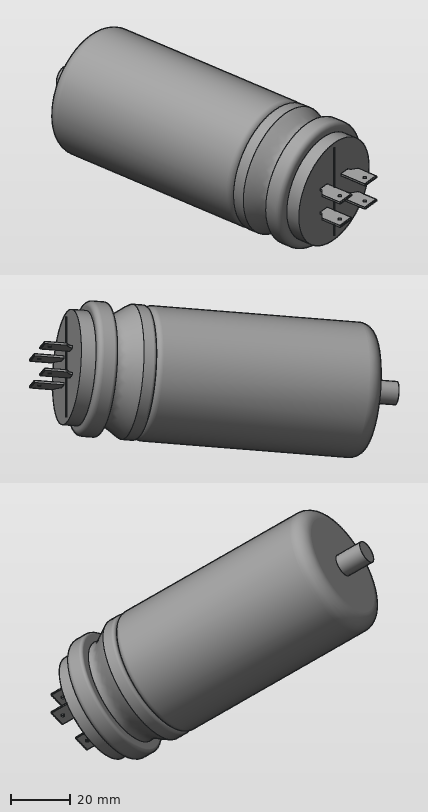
import cadquery as cq
import math

can_radius = 23.0
closed_end_fillet = 5.0

stud_radius = 4.0
stud_length = 10.0

groove_start_x = 77.1
groove_entry_radius = 2.3
bead_x = 79.3
bead_fillet = 1.1

neck_start_x = 84.0
neck_slope_point = (87.7, 20.7)
neck_waist_point = (91.5, 19.0)
neck_end_radius = 19.2

rim_start_x = 92.95
rim_end_x = 99.9
rim_inner_fillet = 1.1
rim_outer_fillet = 2.0

lid_radius = 19.6
lid_face_x = 105.0
lid_rib_length = 35.5
lid_rib_width = 0.5
lid_rib_height = 0.35

blade_tip_x = 115.5
blade_width = 6.3
blade_thickness = 0.8
blade_center_y = 6.95
blade_center_z = 4.75
blade_foot_width = 3.85
blade_foot_end_x = 105.9
blade_shoulder_x = 107.6
blade_tip_bevel_length = 0.35
blade_tip_bevel_depth = 0.2
blade_foot_fillet = 2.0
blade_hole_diameter = 1.2
blade_hole_x = 112.8


def point_on_circle(center, radius, angle):
    """Point on a circle in the (axial, radial) half plane."""
    return (
        center[0] + radius * math.cos(angle),
        center[1] + radius * math.sin(angle),
    )


def make_can():
    """Revolve the half profile of stud, can, neck, rim and lid about X."""
    deg45 = math.radians(45)
    deg135 = math.radians(135)
    up = math.radians(90)

    end_center = (closed_end_fillet, can_radius - closed_end_fillet)

    entry_center = (groove_start_x, can_radius - groove_entry_radius)
    entry_end_angle = math.acos((bead_x - groove_start_x) / groove_entry_radius)
    entry_end = point_on_circle(entry_center, groove_entry_radius, entry_end_angle)
    entry_mid = point_on_circle(entry_center, groove_entry_radius, (up + entry_end_angle) / 2)

    bead_center = (bead_x + bead_fillet, can_radius - bead_fillet)

    rim_inner_center = (rim_start_x + rim_inner_fillet, can_radius - rim_inner_fillet)
    rim_outer_center = (rim_end_x - rim_outer_fillet, can_radius - rim_outer_fillet)

    profile = (
        cq.Workplane("XZ")
        .moveTo(-stud_length, 0)
        .lineTo(-stud_length, stud_radius)
        .lineTo(0, stud_radius)
        .lineTo(0, end_center[1])
        .threePointArc(
            point_on_circle(end_center, closed_end_fillet, deg135),
            (end_center[0], can_radius),
        )
        .lineTo(groove_start_x, can_radius)
        .threePointArc(entry_mid, entry_end)
        .lineTo(bead_x, bead_center[1])
        .threePointArc(
            point_on_circle(bead_center, bead_fillet, deg135),
            (bead_center[0], can_radius),
        )
        .lineTo(neck_start_x, can_radius)
        .spline(
            [neck_slope_point, neck_waist_point, (rim_start_x, neck_end_radius)],
            includeCurrent=True,
        )
        .lineTo(rim_start_x, rim_inner_center[1])
        .threePointArc(
            point_on_circle(rim_inner_center, rim_inner_fillet, deg135),
            (rim_inner_center[0], can_radius),
        )
        .lineTo(rim_outer_center[0], can_radius)
        .threePointArc(
            point_on_circle(rim_outer_center, rim_outer_fillet, deg45),
            (rim_end_x, rim_outer_center[1]),
        )
        .lineTo(rim_end_x, lid_radius)
        .lineTo(lid_face_x, lid_radius)
        .lineTo(lid_face_x, 0)
        .close()
    )
    return profile.revolve(360, (0, 0, 0), (1, 0, 0))


def make_lid_rib():
    """Thin raised rib across the lid face, along Z; half of the box lies inside the lid."""
    return cq.Workplane("XY").box(
        2 * lid_rib_height, lid_rib_width, lid_rib_length
    ).translate((lid_face_x, 0, 0))


def make_blade():
    """Terminal on the +Y side: narrow foot, sloped outer shoulder, tip beveled on both faces."""
    inner_y = blade_center_y - blade_width / 2
    outer_y = blade_center_y + blade_width / 2
    foot_y = inner_y + blade_foot_width
    root_x = rim_end_x
    half_thickness = blade_thickness / 2
    blade = (
        cq.Workplane("XY")
        .polyline([
            (root_x, inner_y),
            (blade_tip_x, inner_y),
            (blade_tip_x, outer_y),
            (blade_shoulder_x, outer_y),
            (blade_foot_end_x, foot_y),
            (root_x, foot_y),
        ])
        .close()
        .extrude(blade_thickness)
        .translate((0, 0, blade_center_z - half_thickness))
    )
    foot_corner = cq.selectors.NearestToPointSelector((blade_foot_end_x, foot_y, blade_center_z))
    blade = blade.edges("|Z").edges(foot_corner).fillet(blade_foot_fillet)

    bevel_start_x = blade_tip_x - blade_tip_bevel_length
    half_tip = half_thickness - blade_tip_bevel_depth
    side_outline = (
        cq.Workplane("XZ", origin=(0, 0, blade_center_z))
        .polyline([
            (root_x, -half_thickness),
            (bevel_start_x, -half_thickness),
            (blade_tip_x, -half_tip),
            (blade_tip_x, half_tip),
            (bevel_start_x, half_thickness),
            (root_x, half_thickness),
        ])
        .close()
        .extrude(-2 * outer_y)
    )
    blade = blade.intersect(side_outline)

    hole = (
        cq.Workplane("XY")
        .center(blade_hole_x, blade_center_y)
        .circle(blade_hole_diameter / 2)
        .extrude(2 * blade_center_z)
    )
    return blade.cut(hole)


blade = make_blade()
upper_blades = blade.union(blade.mirror("XZ"))
lower_blades = upper_blades.translate((0, 0, -2 * blade_center_z))
result = make_can().union(make_lid_rib()).union(upper_blades).union(lower_blades)